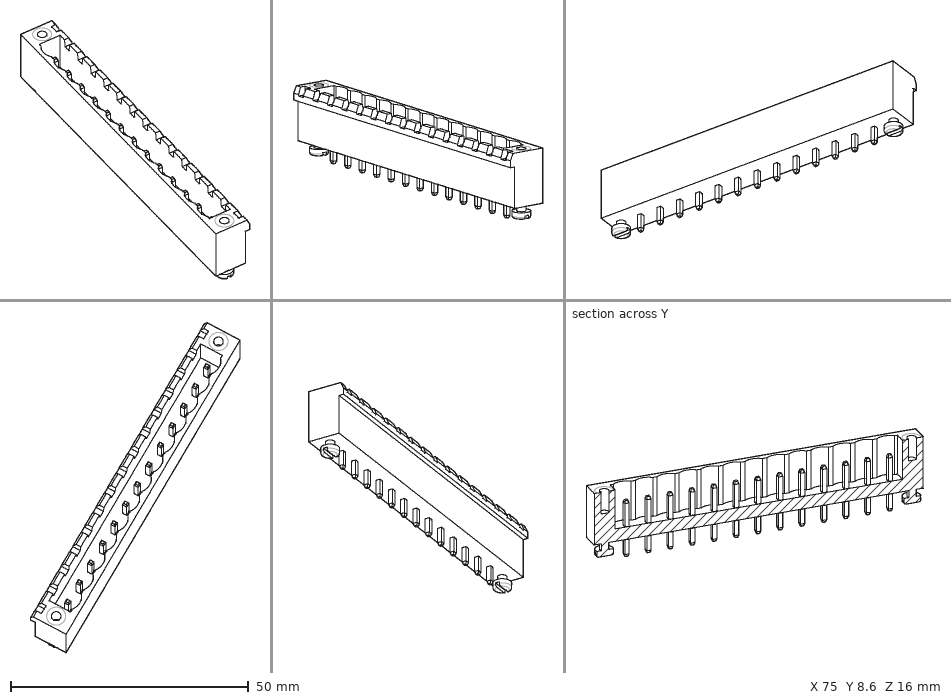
import cadquery as cq

pin_count = 13
pitch = 5.0
first_pin_x = -pitch * (pin_count - 1) / 2
pin_xs = [first_pin_x + pitch * i for i in range(pin_count)]
screw_xs = [first_pin_x - pitch, -first_pin_x + pitch]

housing_length = 75.0
housing_height = 12.0
total_depth = 8.6
front_y = -3.8
lip_y = front_y + total_depth
lip_overhang = 1.1
lip_bevel = 0.7
rear_y = lip_y - lip_overhang
top_rear_y = lip_y - lip_bevel
lip_bottom_z = 9.0
lip_shoulder_z = 10.5

cavity_length = 65.4
cavity_floor_z = 3.0
cavity_width = 5.2
rear_wall_thickness = 1.8
cavity_rear_y = lip_y - rear_wall_thickness
cavity_front_y = cavity_rear_y - cavity_width
scallop_half_width = 2.0
scallop_depth = 0.7

notch_top_width = 2.0
notch_bottom_width = 1.5
notch_depth = 1.8

pin_width = 1.0
pin_tip_width = 0.6
pin_tip_height = 0.6
pin_bottom_z = -4.0
pin_top_z = 9.0

sleeve_diameter = 4.0
sleeve_length = 6.0
bore_diameter = 2.0
bore_depth = 5.0
shank_diameter = 2.0
shank_length = 1.5
head_diameter = 4.0
head_height = 1.5
head_fillet = 0.5
slot_width = 0.9
slot_depth = 0.8


def make_housing():
    profile = [
        (front_y, 0),
        (rear_y, 0),
        (rear_y, lip_bottom_z),
        (lip_y, lip_bottom_z),
        (lip_y, lip_shoulder_z),
        (top_rear_y, housing_height),
        (front_y, housing_height),
    ]
    return cq.Workplane("YZ").polyline(profile).close().extrude(housing_length / 2, both=True)


def make_cavity():
    half_length = cavity_length / 2
    outline = (
        cq.Workplane("XY", origin=(0, 0, cavity_floor_z))
        .moveTo(half_length, cavity_rear_y)
        .lineTo(-half_length, cavity_rear_y)
        .lineTo(-half_length, cavity_front_y)
    )
    for x in pin_xs:
        outline = outline.lineTo(x - scallop_half_width, cavity_front_y).threePointArc(
            (x, cavity_front_y - scallop_depth), (x + scallop_half_width, cavity_front_y)
        )
    outline = outline.lineTo(half_length, cavity_front_y).close()
    return outline.extrude(housing_height - cavity_floor_z)


def make_notch(x):
    half_top = notch_top_width / 2
    half_bottom = notch_bottom_width / 2
    return (
        cq.Workplane("XZ", origin=(x, cavity_rear_y, housing_height))
        .polyline([
            (-half_top, 0),
            (-half_bottom, -notch_depth),
            (half_bottom, -notch_depth),
            (half_top, 0),
        ])
        .close()
        .extrude(cavity_rear_y - lip_y)
    )


def make_pin_tip(x, base_z, tip_z):
    return (
        cq.Workplane("XY", origin=(x, 0, base_z))
        .rect(pin_width, pin_width)
        .workplane(offset=tip_z - base_z)
        .rect(pin_tip_width, pin_tip_width)
        .loft()
    )


def make_pin(x):
    shaft_bottom_z = pin_bottom_z + pin_tip_height
    shaft_top_z = pin_top_z - pin_tip_height
    shaft = (
        cq.Workplane("XY", origin=(x, 0, shaft_bottom_z))
        .rect(pin_width, pin_width)
        .extrude(shaft_top_z - shaft_bottom_z)
    )
    lower_tip = make_pin_tip(x, shaft_bottom_z, pin_bottom_z)
    upper_tip = make_pin_tip(x, shaft_top_z, pin_top_z)
    return shaft.union(lower_tip).union(upper_tip)


def make_cylinder_down(x, top_z, diameter, length):
    return cq.Workplane("XY", origin=(x, 0, top_z)).circle(diameter / 2).extrude(-length)


def make_screw(x):
    head_bottom_z = -shank_length - head_height
    shank = make_cylinder_down(x, 0, shank_diameter, shank_length)
    head = make_cylinder_down(x, -shank_length, head_diameter, head_height)
    head = head.faces("<Z").edges().fillet(head_fillet)
    slot = (
        cq.Workplane("XY", origin=(x, 0, head_bottom_z))
        .rect(head_diameter, slot_width)
        .extrude(slot_depth)
    )
    return shank.union(head.cut(slot))


def make_sleeve(x):
    sleeve = make_cylinder_down(x, housing_height, sleeve_diameter, sleeve_length)
    bore = make_cylinder_down(x, housing_height, bore_diameter, bore_depth)
    return sleeve.cut(bore)


result = make_housing().cut(make_cavity())
for x in screw_xs + pin_xs:
    result = result.cut(make_notch(x))
for x in pin_xs:
    result = result.union(make_pin(x))
for x in screw_xs:
    result = result.union(make_screw(x))
    result = result.cut(make_cylinder_down(x, housing_height, sleeve_diameter, sleeve_length))

for x in screw_xs:
    result = result.union(make_sleeve(x), clean=False)